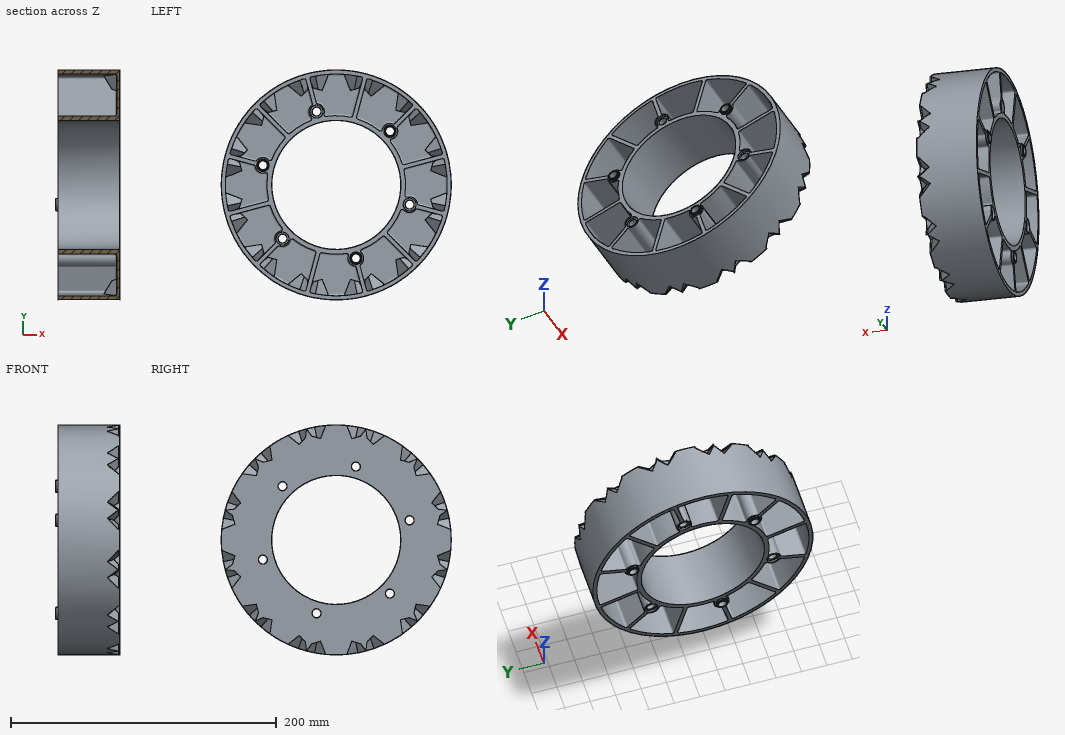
import cadquery as cq
import math

outer_radius = 86.5
bore_radius = 48.5
total_length = 48.5
spigot_length = 1.7
mouth_x = spigot_length
rim_x = total_length

rib_count = 12
rib_pitch = 360.0 / rib_count
first_rib_angle = rib_pitch / 2
rib_thickness = 3.03
outer_wall = 3.1
inner_wall = 3.6
floor_thickness = 2.6
corner_fillet = 1.5
floor_fillet = 1.47
floor_x = rim_x - floor_thickness

boss_count = rib_count // 2
boss_circle_radius = 57.1
spigot_radius = 4.7
spigot_chamfer = 0.5
socket_radius = 4.8
socket_depth = 1.7
column_radius = 5.9
hole_radius = 3.3

notch_depth = 9.5
notch_valley_side = 6.2
notch_depth_gradient = 0.6
notch_valley_drift = 0.06
notch_step = 1.2
notch_end_radius = 77.9
notch_end_tilt = 31.0
rib_side_slope = 0.76
far_side_slope = 1.14
far_wall = 3.1
rib_wall = 2.6
end_wall = 4.7
notch_end_margin = 3.8
clearance = 5.2

ring_plane = cq.Workplane("YZ")


def rotated(shape, angle):
    return shape.rotate((0, 0, 0), (1, 0, 0), angle)


def cylinder(radius, start_x, end_x):
    return ring_plane.workplane(offset=start_x).circle(radius).extrude(end_x - start_x)


def boss_cylinder(radius, start_x, end_x, angle):
    boss = cylinder(radius, start_x, end_x).translate((0, boss_circle_radius, 0))
    return rotated(boss, angle)


def slope_stretch(slope, drift):
    """Sideways shift of a sloping notch side per unit of offset along its normal."""
    return math.sqrt(1 + slope**2 + (drift + slope * notch_depth_gradient) ** 2)


def make_notch(side, far_offset=0, rib_offset=0, end_offset=0, step=notch_step):
    """V wedge beside the rib that lies along +Y, its sides grown by the given offsets."""
    far_shift = far_offset * slope_stretch(far_side_slope, notch_valley_drift)
    rib_shift = rib_offset * slope_stretch(rib_side_slope, -notch_valley_drift)
    extra_depth = (far_shift + rib_shift) / (far_side_slope + rib_side_slope)
    sideways_shift = far_shift - far_side_slope * extra_depth

    def section(radius):
        inset = outer_radius - radius
        depth = notch_depth - notch_depth_gradient * inset + extra_depth
        valley_side = notch_valley_side - notch_valley_drift * inset + sideways_shift
        height = depth - step
        far_side = valley_side + far_side_slope * height
        rib_side = valley_side - rib_side_slope * height
        corners = [
            (valley_side, rim_x - depth),
            (far_side, rim_x - step),
            (far_side, rim_x + clearance),
            (rib_side, rim_x + clearance),
            (rib_side, rim_x - step),
        ]
        return cq.Wire.makePolygon([cq.Vector(x, radius, side * z) for z, x in corners], close=True)

    wedge = cq.Solid.makeLoft(
        [section(notch_end_radius - notch_end_margin - end_offset), section(outer_radius + clearance)], True
    )
    beyond_end = (
        cq.Workplane("XY").box(2 * outer_radius, outer_radius, 2 * outer_radius, centered=(True, False, True))
        .translate((0, -end_offset, 0))
        .rotate((0, 0, 0), (1, 0, 0), side * notch_end_tilt)
        .translate((0, notch_end_radius, side * notch_valley_side))
    )
    return cq.Workplane(obj=wedge).intersect(beyond_end)


def make_pocket(boss_side):
    """Cutter for the pocket centred on +Y, with a boss column at its given side."""
    pocket = cylinder(outer_radius - outer_wall, mouth_x, floor_x)
    pocket = pocket.cut(cylinder(bore_radius + inner_wall, mouth_x, floor_x))
    depth = floor_x - mouth_x
    for side in (-1, 1):
        beyond_rib = (
            cq.Workplane("XY").box(depth, 4 * outer_radius, 2 * outer_radius, centered=(False, True, False))
            .translate((mouth_x, 0, -rib_thickness / 2))
        )
        if side < 0:
            beyond_rib = beyond_rib.mirror("XY")
        pocket = pocket.cut(rotated(beyond_rib, side * rib_pitch / 2))
    pocket = pocket.cut(boss_cylinder(column_radius, mouth_x, floor_x, boss_side * rib_pitch / 2))
    pocket = pocket.edges("|X").fillet(corner_fillet)
    pocket = pocket.faces(">X").edges().fillet(floor_fillet)
    for side in (-1, 1):
        notch_cover = make_notch(-side, far_wall, rib_wall, end_wall, step=0)
        pocket = pocket.cut(rotated(notch_cover, side * rib_pitch / 2))
    return pocket


result = cylinder(outer_radius, mouth_x, rim_x).cut(cylinder(bore_radius, mouth_x, rim_x))
pockets = {side: make_pocket(side) for side in (-1, 1)}
for index in range(rib_count):
    rib_angle = first_rib_angle + index * rib_pitch
    boss_side = -1 if index % 2 == 0 else 1
    result = result.cut(rotated(pockets[boss_side], rib_angle + rib_pitch / 2))
    for side in (-1, 1):
        result = result.cut(rotated(make_notch(side), rib_angle))
for index in range(boss_count):
    boss_angle = first_rib_angle + index * 360.0 / boss_count
    if index % 2 == 0:
        spigot = boss_cylinder(spigot_radius, 0, floor_x, boss_angle)
        result = result.union(spigot.faces("<X").chamfer(spigot_chamfer))
    else:
        result = result.cut(boss_cylinder(socket_radius, mouth_x, mouth_x + socket_depth, boss_angle))
    result = result.cut(boss_cylinder(hole_radius, 0, rim_x, boss_angle))